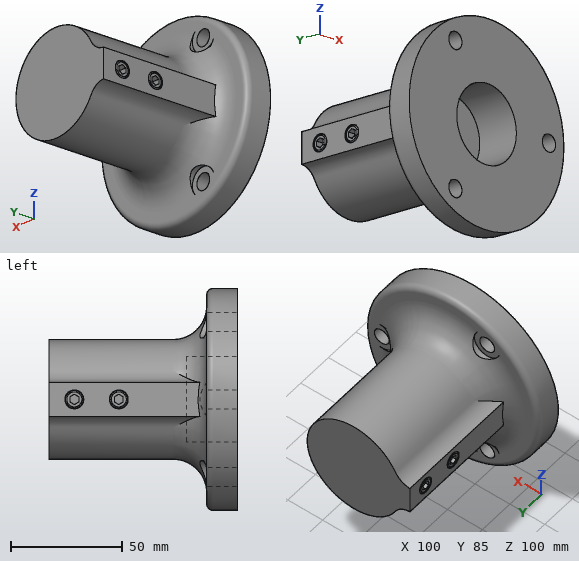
import cadquery as cq
import math

flange_radius = 50.0
flange_thickness = 14.0
rim_round = 3.0
total_length = 85.0
tube_radius = 27.0
neck_round = 15.0

bore_diameter = 38.5
bore_depth = 23.0

hole_count = 3
hole_circle_radius = 40.3
hole_diameter = 8.5
spotface_radius = 7.3

lug_reach = 32.0
lug_round = 10.0
lug_half_width = 7.7

screw_count = 2
screw_pitch = 20.0
screw_end_distance = 11.5
screw_hole_diameter = 8.5
screw_diameter = 8.0
screw_length = 12.0
screw_chamfer_width = 0.6
screw_chamfer_depth = 0.4
socket_across_flats = 4.0
socket_depth = 4.0


def make_flanged_tube():
    """Flange and solid tube, joined by a quarter-round neck and revolved about Y."""
    neck_end_radius = tube_radius + neck_round
    neck_end = flange_thickness + neck_round
    diagonal = math.sqrt(0.5)
    rim_mid = (
        flange_radius - rim_round * (1 - diagonal),
        flange_thickness - rim_round * (1 - diagonal),
    )
    neck_mid = (
        neck_end_radius - neck_round * diagonal,
        neck_end - neck_round * diagonal,
    )
    profile = (
        cq.Workplane("XY")
        .lineTo(flange_radius, 0)
        .lineTo(flange_radius, flange_thickness - rim_round)
        .threePointArc(rim_mid, (flange_radius - rim_round, flange_thickness))
        .lineTo(neck_end_radius, flange_thickness)
        .threePointArc(neck_mid, (tube_radius, neck_end))
        .lineTo(tube_radius, total_length)
        .lineTo(0, total_length)
        .close()
    )
    return profile.revolve(360, (0, 0, 0), (0, 1, 0))


def make_lug():
    """Full-length lug whose concave flanks run tangent into the tube."""
    corner_distance = math.hypot(lug_reach, lug_half_width)
    center_distance = tube_radius + lug_round
    corner_angle = math.atan2(lug_half_width, lug_reach)
    turn_cosine = (center_distance**2 + corner_distance**2 - lug_round**2) / (
        2 * center_distance * corner_distance
    )
    center_angle = corner_angle + math.acos(turn_cosine)
    center_x = -center_distance * math.cos(center_angle)
    center_z = center_distance * math.sin(center_angle)
    tangent_x = -tube_radius * math.cos(center_angle)
    tangent_z = tube_radius * math.sin(center_angle)

    start_angle = math.atan2(lug_half_width - center_z, -lug_reach - center_x)
    end_angle = math.atan2(tangent_z - center_z, tangent_x - center_x)
    mid_angle = (start_angle + end_angle) / 2
    mid_x = center_x + lug_round * math.cos(mid_angle)
    mid_z = center_z + lug_round * math.sin(mid_angle)

    outline = (
        cq.Workplane("XZ")
        .moveTo(0, tangent_z)
        .lineTo(tangent_x, tangent_z)
        .threePointArc((mid_x, mid_z), (-lug_reach, lug_half_width))
        .lineTo(-lug_reach, -lug_half_width)
        .threePointArc((mid_x, -mid_z), (tangent_x, -tangent_z))
        .lineTo(0, -tangent_z)
        .close()
    )
    return outline.extrude(-total_length)


def cylinder_along_y(x, z, radius, start, end):
    return cq.Workplane("XZ", origin=(x, start, z)).circle(radius).extrude(start - end)


def cut_mounting_holes(body):
    for index in range(hole_count):
        angle = 2 * math.pi * index / hole_count
        x = hole_circle_radius * math.cos(angle)
        z = hole_circle_radius * math.sin(angle)
        spotface_end = flange_thickness + neck_round
        body = body.cut(cylinder_along_y(x, z, hole_diameter / 2, 0, spotface_end))
        body = body.cut(cylinder_along_y(x, z, spotface_radius, flange_thickness, spotface_end))
    return body


def screw_cylinder(y, diameter):
    """Cylinder of the screw length going in from the flat face of the lug."""
    face = cq.Workplane("YZ", origin=(-lug_reach, y, 0))
    return face.circle(diameter / 2).extrude(screw_length)


def make_set_screw(y):
    """Set screw with a chamfered outer end and a hexagon socket."""
    screw = screw_cylinder(y, screw_diameter).faces("<X").chamfer(screw_chamfer_depth, screw_chamfer_width)
    across_corners = socket_across_flats / math.cos(math.pi / 6)
    socket = (
        cq.Workplane("YZ", origin=(-lug_reach, y, 0))
        .transformed(rotate=(0, 0, 90))
        .polygon(6, across_corners)
        .extrude(socket_depth)
    )
    return screw.cut(socket)


def make_housing(screw_positions):
    housing = make_flanged_tube().union(make_lug())
    housing = housing.cut(cylinder_along_y(0, 0, bore_diameter / 2, 0, bore_depth))
    housing = cut_mounting_holes(housing)
    for y in screw_positions:
        housing = housing.cut(screw_cylinder(y, screw_hole_diameter))
    return housing


screw_positions = [
    total_length - screw_end_distance - index * screw_pitch for index in range(screw_count)
]
housing = make_housing(screw_positions)
set_screws = [make_set_screw(y) for y in screw_positions]

result = cq.Compound.makeCompound([housing.val(), *[screw.val() for screw in set_screws]])